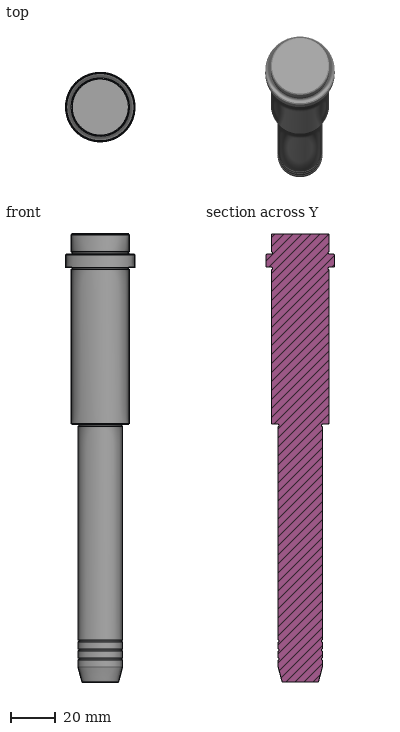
import cadquery as cq
import math

total_length = 200.0

flange_radius = 31.0 / 2
shank_radius = 26.0 / 2
rod_radius = 20.0 / 2

flange_top = 191.0
flange_thickness = 6.0
flange_bottom = flange_top - flange_thickness
shank_bottom = 115.0

edge_chamfer = 0.5

tip_length = 7.0
tip_half_angle = 15.0
tip_radius = rod_radius - tip_length * math.tan(math.radians(tip_half_angle))
tip_fillet = 0.5

groove_radius = 0.5
groove_width = 2 * groove_radius
lubrication_groove_count = 3
lubrication_groove_land = 3.0
lubrication_groove_pitch = lubrication_groove_land + groove_width


def revolve_about_z(profile):
    return profile.revolve(360, (0, 0, 0), (0, 1, 0))


def pin_body():
    """Stepped pin, revolved from a half profile on the -X side of the axis."""
    profile = (
        cq.Workplane("XZ")
        .moveTo(0, 0)
        .lineTo(-tip_radius, 0)
        .lineTo(-rod_radius, tip_length)
        .lineTo(-rod_radius, shank_bottom)
        .lineTo(-(shank_radius - edge_chamfer), shank_bottom)
        .lineTo(-shank_radius, shank_bottom + edge_chamfer)
        .lineTo(-shank_radius, flange_bottom)
        .lineTo(-flange_radius, flange_bottom)
        .lineTo(-flange_radius, flange_top - edge_chamfer)
        .lineTo(-(flange_radius - edge_chamfer), flange_top)
        .lineTo(-shank_radius, flange_top)
        .lineTo(-shank_radius, total_length - edge_chamfer)
        .lineTo(-(shank_radius - edge_chamfer), total_length)
        .lineTo(0, total_length)
        .close()
    )
    return revolve_about_z(profile).faces("<Z").edges().fillet(tip_fillet)


def groove_cutter(surface_radius, bottom):
    """Ring of round section, centred on the cylinder surface it cuts into."""
    section = cq.Workplane("XZ").moveTo(-surface_radius, bottom + groove_radius).circle(groove_radius)
    return revolve_about_z(section)


result = pin_body()

first_groove_bottom = tip_length + lubrication_groove_land
for index in range(lubrication_groove_count):
    groove_bottom = first_groove_bottom + index * lubrication_groove_pitch
    result = result.cut(groove_cutter(rod_radius, groove_bottom))

result = result.cut(groove_cutter(rod_radius, shank_bottom - groove_width))
result = result.cut(groove_cutter(shank_radius, flange_bottom - groove_width))
result = result.cut(groove_cutter(shank_radius, flange_top))